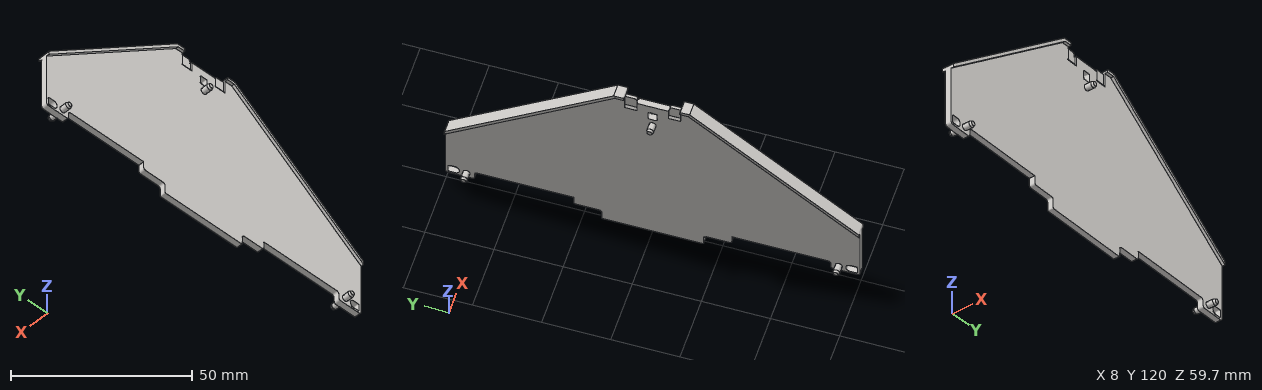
import cadquery as cq
import math

half_span = 60.0
height = 59.7
plate_thickness = 2.0

flange_width = 4.0
flange_thickness = 1.0
shoulder_y = 11.0
eave_z = 23.5
eave_radius = 0.6

foot_half_width = 14.75
step_half_width = 22.9
step_z = 3.6
notch_z = 6.5
notch_end_y = 51.5
step_corner_radius = 0.8
outer_corner_radius = 0.95
foot_bottom_radius = 0.4

gap_half_width = 8.1
gap_corner_radius = 0.3
pocket_inner_y = 4.55
tab_inner_y = 4.75
tab_top_z = height - flange_thickness
tab_thickness = 1.0
tab_bottom_z = 55.0
tab_ramp_height = 0.8
tab_corner_radius = 0.8
apex_z = 57.5

pin_length = 8.0
pin_diameter = 2.0
pin_chamfer_length = 0.7
pin_chamfer_depth = 0.3
apex_pin_z = 49.35
end_pin_y = 53.85
end_pin_z = 5.6

apex_window_width = 2.6
apex_window_bottom_z = 51.7
apex_window_top_z = 54.6
end_window_inner_y = 55.9
end_window_outer_y = 59.2
end_window_height = 2.6
window_corner_radius = 0.4
end_window_inner_radius = 1.25

slope_angle = math.atan2(height - eave_z, half_span - shoulder_y)
flange_drop = flange_thickness / math.cos(slope_angle)
inner_shoulder_y = shoulder_y - flange_thickness * math.tan(slope_angle / 2)


def extrude_across(profile, width):
    """Extrude a YZ profile to the given width, centred on X = 0."""
    return profile.extrude(width / 2, both=True)


def mirrored(half):
    """Join a +Y half with its mirror image."""
    return half.union(half.mirror("XZ"))


def corner_edges(body, corners):
    """Edges along X that pass through the given (y, z) corners."""
    selected = body.edges(cq.selectors.NearestToPointSelector((0, *corners[0])))
    for y, z in corners[1:]:
        selected = selected.add(body.edges(cq.selectors.NearestToPointSelector((0, y, z))))
    return selected


def make_half_plate():
    outline = [
        (0, 0),
        (foot_half_width, 0),
        (foot_half_width, step_z),
        (step_half_width, step_z),
        (step_half_width, notch_z),
        (notch_end_y, notch_z),
        (notch_end_y, step_z),
        (half_span, step_z),
        (half_span, eave_z),
        (shoulder_y, height),
        (gap_half_width, height),
        (gap_half_width, apex_z),
        (0, apex_z),
    ]
    plate = extrude_across(cq.Workplane("YZ").polyline(outline).close(), plate_thickness)
    step_corners = [
        (foot_half_width, step_z),
        (step_half_width, step_z),
        (notch_end_y, notch_z),
        (notch_end_y, step_z),
    ]
    plate = corner_edges(plate, step_corners).fillet(step_corner_radius)
    plate = corner_edges(plate, [(half_span, step_z)]).fillet(outer_corner_radius)
    return corner_edges(plate, [(foot_half_width, 0)]).fillet(foot_bottom_radius)


def make_half_flange():
    outline = [
        (gap_half_width, height),
        (shoulder_y, height),
        (half_span, eave_z),
        (half_span, eave_z - flange_drop),
        (inner_shoulder_y, height - flange_thickness),
        (gap_half_width, height - flange_thickness),
    ]
    return extrude_across(cq.Workplane("YZ").polyline(outline).close(), flange_width)


def round_upper_ends(body):
    """Round the apex gap corner and the eave corner of the flanged plate."""
    body = corner_edges(body, [(gap_half_width, height)]).fillet(gap_corner_radius)
    return corner_edges(body, [(half_span, eave_z)]).fillet(eave_radius)


def make_tab_pocket():
    """Space cleared around one tab, leaving room for a ramp at its foot."""
    width = gap_half_width - pocket_inner_y
    ramp_z = tab_bottom_z - tab_ramp_height
    one_side = (
        cq.Workplane("XZ", origin=(0, gap_half_width, 0))
        .moveTo(tab_thickness / 2, height)
        .lineTo(tab_thickness / 2, tab_bottom_z)
        .lineTo(plate_thickness / 2, ramp_z)
        .lineTo(flange_width, ramp_z)
        .lineTo(flange_width, height)
        .close()
        .extrude(width)
    )
    return one_side.union(one_side.mirror("YZ"))


def make_tab():
    width = gap_half_width - tab_inner_y
    tab_height = tab_top_z - tab_bottom_z
    tab = cq.Workplane("XY").box(tab_thickness, width, tab_height, centered=(True, False, False))
    tab = tab.translate((0, tab_inner_y, tab_bottom_z))
    return tab.edges("|X and <Y and >Z").fillet(tab_corner_radius)


def make_pin(y, z):
    radius = pin_diameter / 2
    pin = cq.Workplane("YZ").center(y, z).circle(radius)
    pin = extrude_across(pin, pin_length)
    return pin.faces("<X or >X").chamfer(pin_chamfer_length, pin_chamfer_depth)


def make_apex_window():
    window_height = apex_window_top_z - apex_window_bottom_z
    middle_z = (apex_window_top_z + apex_window_bottom_z) / 2
    window = cq.Workplane("YZ").center(0, middle_z).rect(apex_window_width, window_height)
    return extrude_across(window, plate_thickness).edges("|X").fillet(window_corner_radius)


def make_end_window():
    width = end_window_outer_y - end_window_inner_y
    middle_y = (end_window_outer_y + end_window_inner_y) / 2
    window = cq.Workplane("YZ").center(middle_y, end_pin_z).rect(width, end_window_height)
    window = extrude_across(window, plate_thickness)
    window = window.edges("|X and >Y").fillet(window_corner_radius)
    return window.edges("|X and <Y").fillet(end_window_inner_radius)


half_part = (
    round_upper_ends(make_half_plate().union(make_half_flange()))
    .cut(make_tab_pocket())
    .union(make_tab())
    .union(make_pin(end_pin_y, end_pin_z))
    .cut(make_end_window())
)
result = mirrored(half_part).union(make_pin(0, apex_pin_z)).cut(make_apex_window()).clean()